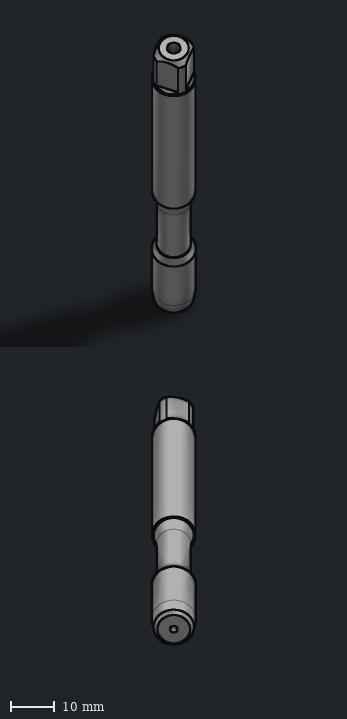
import cadquery as cq

TOTAL_LENGTH = 100.0
TIP_CHAMFER_TOP = 0.9
LEAD_TAPER_TOP = 4.5
HEAD_CONE_BASE = 20.0
HEAD_CONE_TOP = 21.8
HEAD_TOP = 22.1
NECK_TOP = 39.0
SHANK_BASE = 43.0
SHANK_TOP = 87.9
FLAT_BASE = 89.0

HEAD_DIAMETER = 10.2
LEAD_DIAMETER = 9.3
TIP_DIAMETER = 7.5
NECK_DIAMETER = 7.9
NECK_CONE_DIAMETER = 9.2
SHANK_DIAMETER = 10.0
DRIVE_DIAMETER = 9.6
DRIVE_END_DIAMETER = 6.9
SHANK_BORE_DIAMETER = 3.0
HEAD_BORE_DIAMETER = 1.7

ACROSS_FLATS = 8.0
FLAT_COUNT = 4


def turned_body(steps):
    """Revolve a list of (diameter, height) steps, listed upwards, about Z."""
    outline = [(diameter / 2, height) for diameter, height in steps]
    bottom = steps[0][1]
    top = steps[-1][1]
    points = [(0, bottom), *outline, (0, top)]
    return cq.Workplane("XZ").polyline(points).close().revolve(360, (0, 0), (0, 1))


def axial_bore(diameter, bottom, top):
    """Cylinder that bores a body along its axis."""
    return cq.Workplane("XY").workplane(offset=bottom).circle(diameter / 2).extrude(top - bottom)


def drive_flat_cutter():
    """Cutter for the +X drive flat, with a 45 degree run-out at its base."""
    inner = ACROSS_FLATS / 2
    outer = SHANK_DIAMETER
    points = [
        (inner, FLAT_BASE),
        (outer, FLAT_BASE - (outer - inner)),
        (outer, TOTAL_LENGTH),
        (inner, TOTAL_LENGTH),
    ]
    return cq.Workplane("XZ").polyline(points).close().extrude(SHANK_DIAMETER / 2, both=True)


def make_shank():
    """Shank with its neck, square drive and bore."""
    end_chamfer = (DRIVE_DIAMETER - DRIVE_END_DIAMETER) / 2
    shoulder_chamfer = (SHANK_DIAMETER - DRIVE_DIAMETER) / 2
    shank = turned_body([
        (NECK_DIAMETER, HEAD_TOP),
        (NECK_DIAMETER, NECK_TOP),
        (NECK_CONE_DIAMETER, SHANK_BASE),
        (SHANK_DIAMETER, SHANK_BASE),
        (SHANK_DIAMETER, SHANK_TOP),
        (DRIVE_DIAMETER, SHANK_TOP + shoulder_chamfer),
        (DRIVE_DIAMETER, TOTAL_LENGTH - end_chamfer),
        (DRIVE_END_DIAMETER, TOTAL_LENGTH),
    ])
    for index in range(FLAT_COUNT):
        angle = index * 360 / FLAT_COUNT
        shank = shank.cut(drive_flat_cutter().rotate((0, 0, 0), (0, 0, 1), angle))
    return shank.cut(axial_bore(SHANK_BORE_DIAMETER, HEAD_TOP, TOTAL_LENGTH))


def make_head():
    """Working head with a tapered lead, a short neck and a narrower through bore."""
    head = turned_body([
        (TIP_DIAMETER, 0),
        (LEAD_DIAMETER, TIP_CHAMFER_TOP),
        (HEAD_DIAMETER, LEAD_TAPER_TOP),
        (HEAD_DIAMETER, HEAD_CONE_BASE),
        (NECK_DIAMETER, HEAD_CONE_TOP),
        (NECK_DIAMETER, HEAD_TOP),
    ])
    return head.cut(axial_bore(HEAD_BORE_DIAMETER, 0, HEAD_TOP))


shank = make_shank()
head = make_head()
result = cq.Compound.makeCompound([shank.val(), head.val()])